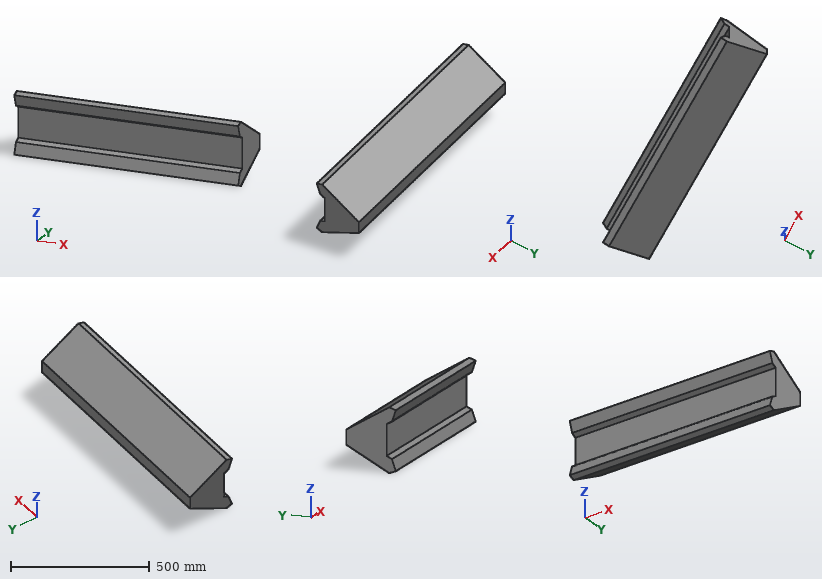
import cadquery as cq

length = 889.0
depth = 190.0
height = 244.5

back_height = 56.0
lip_front_height = 226.0
lip_inner_height = 139.0
channel_height = 117.0

crest_setback = 25.0
lip_inner_setback = 15.0
channel_depth = 36.0

upper_half = [
    (depth, back_height / 2),
    (crest_setback, height / 2),
    (0, lip_front_height / 2),
    (lip_inner_setback, lip_inner_height / 2),
    (channel_depth, channel_height / 2),
]
lower_half = [(y, -z) for y, z in reversed(upper_half)]

result = (
    cq.Workplane("YZ")
    .polyline(upper_half + lower_half)
    .close()
    .extrude(length)
)